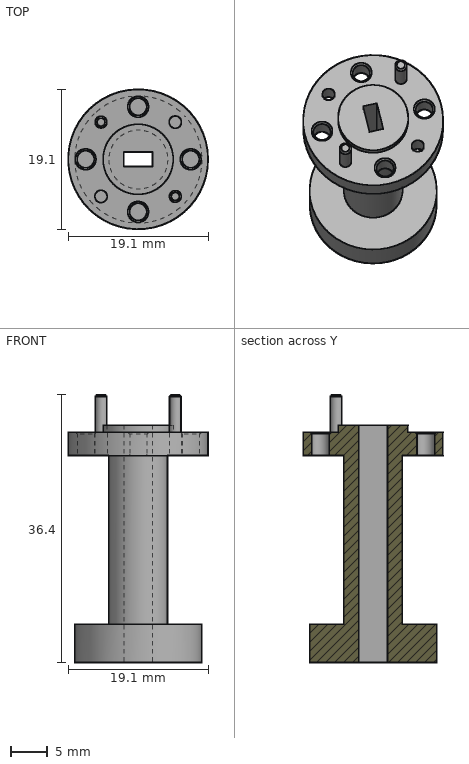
import cadquery as cq

total_height = 36.4
foot_height = 5.25
flange_thickness = 3.2
boss_height = 0.95
pin_length = 5.05
flange_top = total_height - pin_length
flange_bottom = flange_top - flange_thickness
boss_top = flange_top + boss_height

flange_diameter = 19.05
column_diameter = 8
foot_diameter = 17.3
boss_diameter = 9.55

channel_width = 3.85
channel_depth = 1.93

pitch_radius = flange_diameter * 3 / 8
bolt_hole_diameter = 2.33
countersink_diameter = 2.85
countersink_depth = (countersink_diameter - bolt_hole_diameter) / 2
dowel_hole_diameter = 1.67
pin_diameter = 1.6
pin_chamfer = 0.25


def disc(diameter, bottom, top):
    """Cylinder on the Z axis between two heights."""
    return cq.Workplane("XY").workplane(offset=bottom).circle(diameter / 2).extrude(top - bottom)


def on_pitch_circle(height, start_angle, count):
    """Workplane with evenly spaced points on the pitch circle."""
    plane = cq.Workplane("XY").workplane(offset=height)
    return plane.polarArray(pitch_radius, start_angle, 360, count)


body = (
    disc(foot_diameter, 0, foot_height)
    .union(disc(column_diameter, foot_height, flange_bottom))
    .union(disc(flange_diameter, flange_bottom, flange_top))
    .union(disc(boss_diameter, flange_top, boss_top))
)

channel = cq.Workplane("XY").rect(channel_width, channel_depth).extrude(boss_top)

bolt_holes = on_pitch_circle(flange_bottom, 0, 4).circle(bolt_hole_diameter / 2).extrude(flange_thickness)
countersink = cq.Solid.makeCone(bolt_hole_diameter / 2, countersink_diameter / 2, countersink_depth)
countersinks = on_pitch_circle(flange_top - countersink_depth, 0, 4).eachpoint(
    lambda place: countersink.located(place)
)

dowel_holes = on_pitch_circle(flange_bottom, 45, 2).circle(dowel_hole_diameter / 2).extrude(flange_thickness)

pins = (
    on_pitch_circle(flange_bottom, 135, 2)
    .circle(pin_diameter / 2)
    .extrude(total_height - flange_bottom)
    .faces(">Z")
    .chamfer(pin_chamfer)
)

result = body.cut(channel).cut(bolt_holes).cut(countersinks).cut(dowel_holes).union(pins)